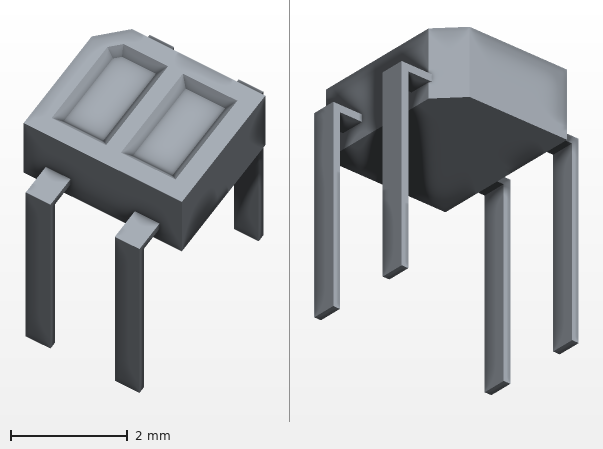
import cadquery as cq

body_length = 3.2
body_width = 2.7
body_height = 1.4
body_chamfer = 0.5

outer_wall = 0.35
middle_wall = 0.3
pocket_depth = 0.15
pocket_taper = 45
pocket_chamfer = 0.2
pocket_length = (body_length - 2 * outer_wall - middle_wall) / 2
pocket_width = body_width - 2 * outer_wall
pocket_x = (pocket_length + middle_wall) / 2

overall_width = 4.0
overall_height = 5.0
lead_width = 0.5
lead_thickness = 0.15
lead_pitch = 1.8
lead_top = 0.475
lead_embed = 0.3
lead_bottom = body_height - overall_height


def corner_cut_rectangle(length, width, cut):
    """Points of a centred rectangle whose -X +Y corner is cut at 45 degrees."""
    x = length / 2
    y = width / 2
    return [(-x, -y), (x, -y), (x, y), (-x + cut, y), (-x, y - cut)]


def make_body():
    outline = corner_cut_rectangle(body_length, body_width, body_chamfer)
    return cq.Workplane("XY").polyline(outline).close().extrude(body_height)


def make_chamfered_pocket():
    outline = corner_cut_rectangle(pocket_length, pocket_width, pocket_chamfer)
    return (
        cq.Workplane("XY", origin=(-pocket_x, 0, body_height))
        .polyline(outline)
        .close()
        .extrude(-pocket_depth, taper=pocket_taper)
    )


def make_plain_pocket():
    return (
        cq.Workplane("XY", origin=(pocket_x, 0, body_height))
        .rect(pocket_length, pocket_width)
        .extrude(-pocket_depth, taper=pocket_taper)
    )


def make_lead(x, side):
    """L-shaped lead centred on x; side is +1 for the +Y side, -1 for the -Y side."""
    outer_y = side * overall_width / 2
    leg_inner_y = side * (overall_width / 2 - lead_thickness)
    embedded_y = side * (body_width / 2 - lead_embed)
    arm_bottom = lead_top - lead_thickness
    profile = [
        (embedded_y, lead_top),
        (outer_y, lead_top),
        (outer_y, lead_bottom),
        (leg_inner_y, lead_bottom),
        (leg_inner_y, arm_bottom),
        (embedded_y, arm_bottom),
    ]
    return (
        cq.Workplane("YZ", origin=(x, 0, 0))
        .polyline(profile)
        .close()
        .extrude(lead_width / 2, both=True)
    )


result = make_body().cut(make_chamfered_pocket()).cut(make_plain_pocket())
for lead_x in (-lead_pitch / 2, lead_pitch / 2):
    for lead_side in (-1, 1):
        result = result.union(make_lead(lead_x, lead_side))